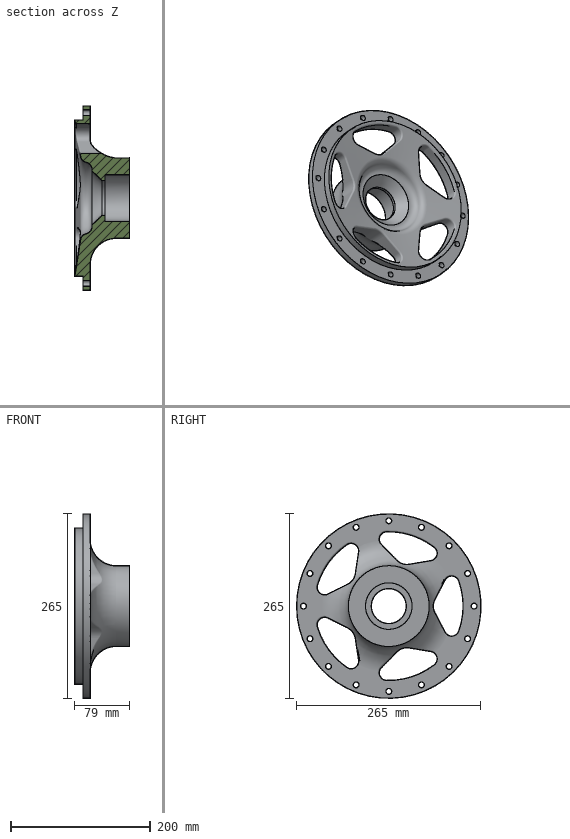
import cadquery as cq
import math


pilot_depth = 12.0
flange_thickness = 10.5
flange_back_x = pilot_depth + flange_thickness
hub_end_x = 79.0
web_front_x = 39.2
web_back_x = 43.7

flange_radius = 132.5
pilot_radius = 112.4
hub_radius = 58.0
mouth_radius = 59.5
floor_radius = 40.8
cone_radius = 38.7
bore_radius = 25.0
cavity_radius = 33.5

hub_blend = 37.0
lip_blend = 10.0
floor_blend = 10.5
dish_angle = 9.0
recess_wall_draft = 18.0

window_count = 5
window_outer_radius = 106.5
window_inner_point = 61.5
window_side_angle = 62.5
window_outer_corner = 10.5
window_inner_corner = 20.0
window_edge_round = 2.0

bolt_count = 16
bolt_circle_radius = 122.5
bolt_hole_diameter = 8.0


def turned_body():
    """Solid of revolution: flange, pilot, hub, dished front, recess, cone, bore and rear cavity."""
    tilt = math.radians(dish_angle)
    draft = math.radians(recess_wall_draft)

    mouth_x = (pilot_radius - mouth_radius) * math.tan(tilt)
    lip_center_x = mouth_x + lip_blend * math.cos(tilt)
    lip_center_r = mouth_radius + lip_blend * math.sin(tilt)

    def lip_point(angle):
        """Point on the lip blend whose surface leans by angle from the X axis."""
        return (lip_center_x - lip_blend * math.sin(angle), lip_center_r - lip_blend * math.cos(angle))

    wall_top = lip_point(draft)
    lip_middle = lip_point((math.pi / 2 - tilt + draft) / 2)

    wall_bottom_r = floor_radius + floor_blend * math.cos(draft)
    wall_bottom_x = wall_top[0] + (wall_top[1] - wall_bottom_r) / math.tan(draft)
    floor_center_x = wall_bottom_x - floor_blend * math.sin(draft)
    floor_x = floor_center_x + floor_blend
    middle = (math.pi / 2 + draft) / 2
    floor_blend_middle = (
        floor_center_x + floor_blend * math.sin(middle),
        floor_radius + floor_blend * math.cos(middle),
    )

    diagonal = math.sqrt(0.5)
    hub_arc_x = flange_back_x + hub_blend
    hub_arc_r = hub_radius + hub_blend
    hub_arc_middle = (hub_arc_x - hub_blend * diagonal, hub_arc_r - hub_blend * diagonal)

    profile = (
        cq.Workplane("XY")
        .moveTo(0, pilot_radius)
        .lineTo(mouth_x, mouth_radius)
        .threePointArc(lip_middle, wall_top)
        .lineTo(wall_bottom_x, wall_bottom_r)
        .threePointArc(floor_blend_middle, (floor_x, floor_radius))
        .lineTo(floor_x, cone_radius)
        .lineTo(web_front_x, bore_radius)
        .lineTo(web_back_x, bore_radius)
        .lineTo(web_back_x, cavity_radius)
        .lineTo(hub_end_x, cavity_radius)
        .lineTo(hub_end_x, hub_radius)
        .lineTo(hub_arc_x, hub_radius)
        .threePointArc(hub_arc_middle, (flange_back_x, hub_arc_r))
        .lineTo(flange_back_x, flange_radius)
        .lineTo(pilot_depth, flange_radius)
        .lineTo(pilot_depth, pilot_radius)
        .close()
    )
    return profile.revolve(360, (0, 0, 0), (1, 0, 0)).rotate((0, 0, 0), (1, 0, 0), 180)


def window_cutter():
    """Rounded triangular prism along X, centred on +Y, its outer side an arc about X."""
    half_height = (window_outer_radius - window_inner_point) * math.tan(math.radians(window_side_angle))
    wedge = (
        cq.Workplane("YZ")
        .moveTo(window_inner_point, 0)
        .lineTo(window_outer_radius, half_height)
        .lineTo(window_outer_radius, -half_height)
        .close()
        .extrude(hub_end_x)
    )
    disc = cq.Workplane("YZ").circle(window_outer_radius).extrude(hub_end_x)
    cutter = wedge.intersect(disc)
    cutter = cutter.edges("|X and <Y").fillet(window_inner_corner)
    return cutter.edges("|X and (>Z or <Z)").fillet(window_outer_corner)


def with_windows(body):
    """Cut each window at +Y, round the rims of both its mouths, then turn the body to the next."""
    cutter = window_cutter()
    window_box = cq.selectors.BoxSelector(
        (-hub_end_x, mouth_radius, -window_outer_radius / 2),
        (hub_end_x, window_outer_radius, window_outer_radius / 2),
    )
    for _ in range(window_count):
        body = body.cut(cutter)
        body = body.edges(window_box).edges("not |X").fillet(window_edge_round)
        body = body.rotate((0, 0, 0), (1, 0, 0), 360 / window_count)
    return body


def bolt_holes():
    return (
        cq.Workplane("YZ")
        .polarArray(bolt_circle_radius, 0, 360, bolt_count)
        .circle(bolt_hole_diameter / 2)
        .extrude(hub_end_x)
    )


result = with_windows(turned_body()).cut(bolt_holes())